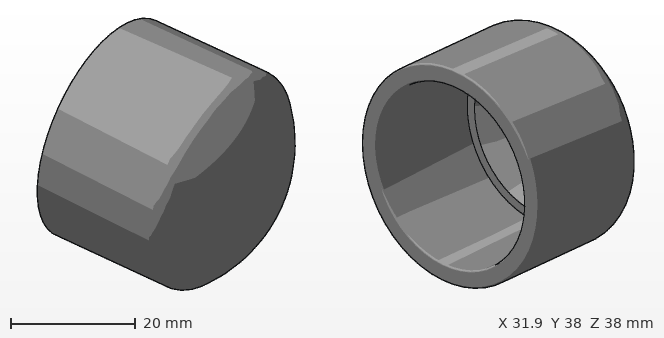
import cadquery as cq
import math

outer_radius = 19.0
bore_radius = 16.0
length = 31.9
rim_radius = 0.3

dome_radius = 25.0
shoulder_radius = 3.0
dome_center = length - dome_radius
shoulder_center_r = outer_radius - shoulder_radius
shoulder_start = dome_center + math.sqrt(
    (dome_radius - shoulder_radius) ** 2 - shoulder_center_r**2
)
tangent_angle = math.atan2(shoulder_center_r, shoulder_start - dome_center)

bore_depth = 22.0
recess_radius = 14.45
recess_dome_radius = math.hypot(bore_depth - dome_center, recess_radius)
recess_angle = math.atan2(recess_radius, bore_depth - dome_center)


def arc_point(center_x, center_r, radius, angle):
    """Point on an arc, with the angle measured from the +X direction."""
    return (center_x + radius * math.cos(angle), center_r + radius * math.sin(angle))


def outer_body():
    shoulder_mid = (tangent_angle + math.pi / 2) / 2
    profile = (
        cq.Workplane("XY")
        .moveTo(0, 0)
        .lineTo(0, outer_radius - rim_radius)
        .threePointArc(
            arc_point(rim_radius, outer_radius - rim_radius, rim_radius, math.radians(135)),
            (rim_radius, outer_radius),
        )
        .lineTo(shoulder_start, outer_radius)
        .threePointArc(
            arc_point(shoulder_start, shoulder_center_r, shoulder_radius, shoulder_mid),
            arc_point(dome_center, 0, dome_radius, tangent_angle),
        )
        .threePointArc(
            arc_point(dome_center, 0, dome_radius, tangent_angle / 2),
            (length, 0),
        )
        .close()
    )
    return profile.revolve(360, (0, 0, 0), (1, 0, 0))


def cavity():
    profile = (
        cq.Workplane("XY")
        .moveTo(0, 0)
        .lineTo(0, bore_radius + rim_radius)
        .threePointArc(
            arc_point(rim_radius, bore_radius + rim_radius, rim_radius, math.radians(225)),
            (rim_radius, bore_radius),
        )
        .lineTo(bore_depth, bore_radius)
        .lineTo(bore_depth, recess_radius)
        .threePointArc(
            arc_point(dome_center, 0, recess_dome_radius, recess_angle / 2),
            (dome_center + recess_dome_radius, 0),
        )
        .close()
    )
    return profile.revolve(360, (0, 0, 0), (1, 0, 0))


result = outer_body().cut(cavity())